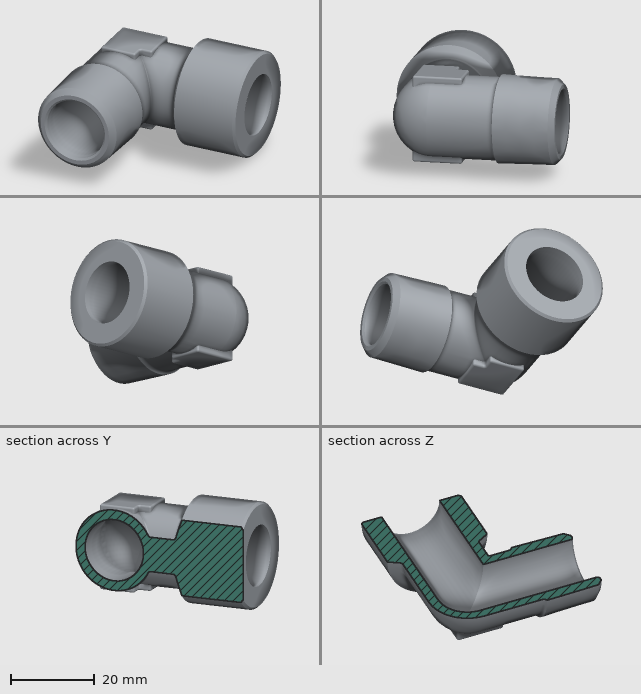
import cadquery as cq
import math

body_radius = 9.98
bore_radius = 7.5

shoulder_angle = 60
neck_round = 0.6

socket_end = 33.45
socket_diameter = 26.0
socket_radius = socket_diameter / 2
socket_chamfer = 0.57
socket_shoulder = 17.53

spigot_end = 31.0
spigot_start = 16.1
spigot_large_radius = 10.7
spigot_small_radius = 10.38
spigot_chamfer = 1.35
mouth_chamfer = 0.5

pad_height = 10.5
pad_near = 4.5
pad_far = 7.5
pad_round = 0.5
crotch_round = 0.25


def shoulder_length(end_radius):
    """Axial length of the cone from the pipe radius up to end_radius."""
    return (end_radius - body_radius) / math.tan(math.radians(shoulder_angle))


def socket_arm():
    """Neck, conical shoulder and socket, turned about X."""
    cone_start = socket_shoulder - shoulder_length(socket_radius)
    profile = (
        cq.Workplane("XY")
        .lineTo(0, body_radius)
        .lineTo(cone_start, body_radius)
        .lineTo(socket_shoulder, socket_radius)
        .lineTo(socket_end - socket_chamfer, socket_radius)
        .lineTo(socket_end, socket_radius - socket_chamfer)
        .lineTo(socket_end, 0)
        .close()
    )
    arm = profile.revolve(360, (0, 0, 0), (1, 0, 0))
    neck_edge = cq.selectors.NearestToPointSelector((cone_start, 0, 0))
    return arm.edges("%CIRCLE").edges(neck_edge).fillet(neck_round)


def spigot_arm():
    """Pipe and tapered spigot, turned about Y."""
    cone_start = spigot_start - shoulder_length(spigot_large_radius)
    taper_end = spigot_end - spigot_chamfer
    profile = (
        cq.Workplane("XY")
        .lineTo(body_radius, 0)
        .lineTo(body_radius, -cone_start)
        .lineTo(spigot_large_radius, -spigot_start)
        .lineTo(spigot_small_radius, -taper_end)
        .lineTo(spigot_small_radius - spigot_chamfer, -spigot_end)
        .lineTo(0, -spigot_end)
        .close()
    )
    arm = profile.revolve(360, (0, 0, 0), (0, 1, 0))
    neck_edge = cq.selectors.NearestToPointSelector((0, -cone_start, 0))
    return arm.edges("%CIRCLE").edges(neck_edge).fillet(neck_round)


def wrench_pads():
    """Square block with a notch at the inside of the bend, flat above and below."""
    outline = [
        (-pad_near, pad_near),
        (pad_far, pad_near),
        (pad_far, -pad_near),
        (pad_near, -pad_near),
        (pad_near, -pad_far),
        (-pad_near, -pad_far),
    ]
    block = (
        cq.Workplane("XY")
        .polyline(outline)
        .close()
        .extrude(pad_height, both=True)
    )
    return block.edges().fillet(pad_round)


def bore():
    """Through passage with a spherical bend and a countersunk spigot mouth."""
    along_x = cq.Workplane("YZ").circle(bore_radius).extrude(socket_end)
    along_y = cq.Workplane("XZ").circle(bore_radius).extrude(spigot_end)
    mouth = (
        cq.Workplane("XZ", origin=(0, -spigot_end, 0))
        .circle(bore_radius + mouth_chamfer)
        .workplane(offset=-mouth_chamfer)
        .circle(bore_radius)
        .loft()
    )
    return cq.Workplane("XY").sphere(bore_radius).union(along_x).union(along_y).union(mouth)


elbow = cq.Workplane("XY").sphere(body_radius).union(socket_arm()).union(spigot_arm())
elbow = elbow.union(wrench_pads())

crotch_edges = cq.selectors.BoxSelector(
    (pad_far, -body_radius, -body_radius),
    (body_radius, -pad_far, body_radius),
)
elbow = elbow.edges(crotch_edges).fillet(crotch_round)

result = elbow.cut(bore())